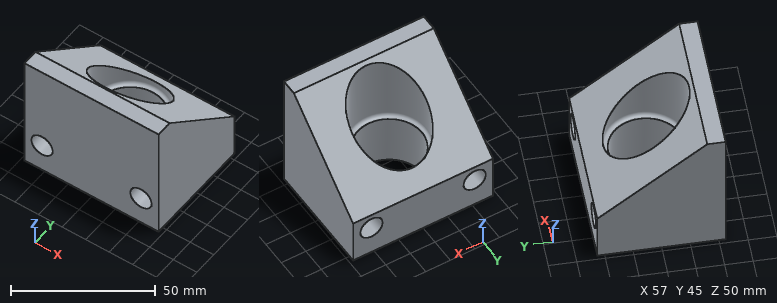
import cadquery as cq

width = 57.0
depth = 45.0
height = 50.0

land_depth = 6.5
rear_height = 19.0

bore_diameter = 30.1
opening_diameter = 26.5
bore_center_y = 22.95
floor_thickness = 20.85
floor_fillet = 1.5

mount_diameter = 9.0
mount_spacing = 42.0
mount_height = 12.5


def wedge_block():
    """Side profile extruded across the width, centred on X."""
    profile = [
        (0, 0),
        (depth, 0),
        (depth, rear_height),
        (land_depth, height),
        (0, height),
    ]
    return cq.Workplane("YZ").polyline(profile).close().extrude(width / 2, both=True)


def vertical_cylinder(diameter, base_z):
    """Cutter on the bore axis from base_z up to the top of the block."""
    return (
        cq.Workplane("XY", origin=(0, bore_center_y, base_z))
        .circle(diameter / 2)
        .extrude(height - base_z)
    )


def mounting_holes():
    """Pair of cutters running through the full depth."""
    return (
        cq.Workplane("XZ", origin=(0, 0, mount_height))
        .pushPoints([(-mount_spacing / 2, 0), (mount_spacing / 2, 0)])
        .circle(mount_diameter / 2)
        .extrude(-depth)
    )


bore = vertical_cylinder(bore_diameter, floor_thickness).faces("<Z").fillet(floor_fillet)
opening = vertical_cylinder(opening_diameter, 0)

result = wedge_block().cut(bore).cut(opening).cut(mounting_holes())